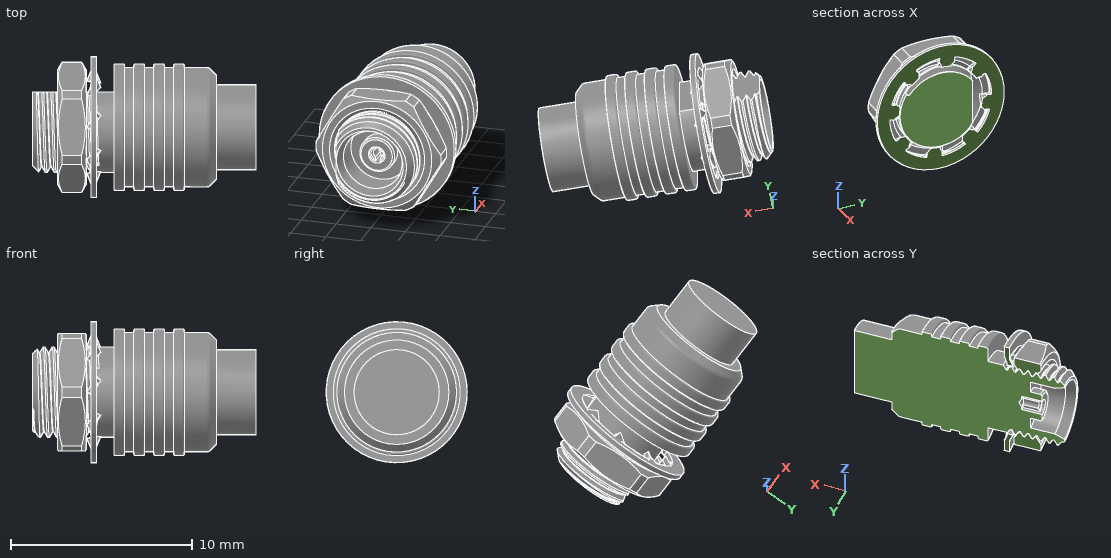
import cadquery as cq
import math


flange_start = 4.5
flange_end = 10.17
body_length = 12.36

thread_radius = 2.5
thread_pitch = 0.5
thread_depth = 0.31
thread_root_flat = 0.04
thread_half_angle = 30.0
thread_turns = 7.66
thread_start = -0.35
groove_overcut = 0.06
entry_chamfer = 0.39
flat_offset = 1.96

barrel_radius = 3.3
barrel_chamfer = 0.42
barrel_fillet = 0.25
rib_radius = 3.5
rib_width = 0.6
rib_fillet = 0.1
rib_pitch = 1.1
rib_count = 4
collar_radius = 2.35

mouth_radius = 1.92
socket_radius = 1.69
mouth_depth = 0.57
socket_depth = 2.0
insulator_radius = 1.0
insulator_chamfer = 0.1
insulator_face = 1.31

contact_radius = 0.475
contact_recess = 0.2
contact_lead_in = 0.1
contact_bore_radius = 0.28
contact_bore_depth = 1.0
contact_tip_angle = 59.0
contact_slot_width = 0.28

nut_start = 1.385
nut_thickness = 1.6
nut_across_flats = 6.5
nut_corner_radius = 3.6
nut_face_radius = 3.15
nut_bevel_angle = 30.0
nut_mouth_radius = 2.74
nut_mouth_depth = 0.34

washer_start = 3.24
washer_thickness = 0.31
washer_outer_radius = 7.79 / 2
washer_inner_radius = 3.1
tooth_tip_radius = 2.52
tooth_count = 8
tooth_width = 0.97
tooth_twist = 31.6
first_tooth_angle = 37.5
tooth_root_overlap = 0.15


def turned(points):
    """Solid of revolution about X from a closed outline of (x, radius) points."""
    return cq.Workplane("XY").polyline(points).close().revolve(360, (0, 0, 0), (1, 0, 0))


def rod(start, end, radius):
    """Plain cylinder along X."""
    return cq.Workplane("YZ", origin=(start, 0, 0)).circle(radius).extrude(end - start)


def threaded_rod(length):
    """Cylinder from x = 0 with a right-hand V groove wound around it."""
    slope = math.tan(math.radians(thread_half_angle))
    root_radius = thread_radius - thread_depth
    outer_radius = thread_radius + groove_overcut
    root_half = thread_root_flat / 2
    outer_half = root_half + (outer_radius - root_radius) * slope
    helix = cq.Wire.makeHelix(thread_pitch, thread_turns * thread_pitch, root_radius)
    groove = (
        cq.Workplane("XZ")
        .polyline([
            (root_radius, -root_half),
            (outer_radius, -outer_half),
            (outer_radius, outer_half),
            (root_radius, root_half),
        ])
        .close()
        .sweep(cq.Workplane(helix), isFrenet=True)
        .rotate((0, 0, 0), (0, 1, 0), 90)
        .translate((thread_start, 0, 0))
    )
    return rod(0, length, thread_radius).cut(groove)


def grip_barrel():
    """Barrel with a bevelled and blended rear edge and raised ribs with rounded edges."""
    barrel = rod(flange_start, flange_end, barrel_radius).faces(">X").chamfer(barrel_chamfer)
    barrel = barrel.faces("%CONE").edges("<X").fillet(barrel_fillet)
    for index in range(rib_count):
        rib_start = flange_start + index * rib_pitch
        rib = rod(rib_start, rib_start + rib_width, rib_radius).edges().fillet(rib_fillet)
        barrel = barrel.union(rib)
    return barrel


def socket_cavity():
    """Tapered mouth and cylindrical socket, around the insulator post."""
    cavity = turned([
        (0, 0),
        (0, mouth_radius),
        (mouth_depth, socket_radius),
        (socket_depth, socket_radius),
        (socket_depth, 0),
    ])
    post = turned([
        (insulator_face, 0),
        (insulator_face, insulator_radius - insulator_chamfer),
        (insulator_face + insulator_chamfer, insulator_radius),
        (socket_depth, insulator_radius),
        (socket_depth, 0),
    ])
    return cavity.cut(post)


def contact_cuts():
    """Recess in front of the contact, its countersunk conical-bottomed bore and its cross slot."""
    contact_face = insulator_face + contact_recess
    bore_end = contact_face + contact_bore_depth
    tip_depth = contact_bore_radius / math.tan(math.radians(contact_tip_angle))
    recess_and_bore = turned([
        (insulator_face, 0),
        (insulator_face, contact_radius),
        (contact_face, contact_radius),
        (contact_face, contact_bore_radius + contact_lead_in),
        (contact_face + contact_lead_in, contact_bore_radius),
        (bore_end, contact_bore_radius),
        (bore_end + tip_depth, 0),
    ])
    slot = cq.Workplane("XY").box(
        contact_bore_depth, contact_slot_width, 2 * contact_radius, centered=(False, True, True)
    ).translate((contact_face, 0, 0))
    slot = slot.intersect(rod(contact_face, bore_end, contact_radius))
    return recess_and_bore.union(slot)


def make_body():
    """Threaded front with a key flat, ribbed barrel, rear collar and front socket."""
    front_limit = turned([
        (0, 0),
        (0, thread_radius - entry_chamfer),
        (entry_chamfer, thread_radius),
        (flange_start, thread_radius),
        (flange_start, 0),
    ])
    beyond_flat = cq.Workplane("XY").box(
        flange_start, thread_radius, 2 * thread_radius, centered=(False, False, True)
    ).translate((0, flat_offset, 0))
    front = threaded_rod(flange_start).intersect(front_limit).cut(beyond_flat)
    collar = rod(flange_end, body_length, collar_radius)
    return front.union(grip_barrel()).union(collar).cut(socket_cavity()).cut(contact_cuts())


def make_nut():
    """Hex nut with bevelled corners and a thread that mates with the body."""
    nut_end = nut_start + nut_thickness
    bevel = (nut_corner_radius - nut_face_radius) * math.tan(math.radians(nut_bevel_angle))
    corner_diameter = nut_across_flats / math.cos(math.radians(30))
    hexagon = (
        cq.Workplane("YZ", origin=(nut_start, 0, 0))
        .polygon(6, corner_diameter)
        .extrude(nut_thickness)
    )
    outer_limit = turned([
        (nut_start, 0),
        (nut_start, nut_face_radius),
        (nut_start + bevel, nut_corner_radius),
        (nut_end - bevel, nut_corner_radius),
        (nut_end, nut_face_radius),
        (nut_end, 0),
    ])
    minor_radius = thread_radius - thread_depth
    bore = turned([
        (nut_start, 0),
        (nut_start, nut_mouth_radius),
        (nut_start + nut_mouth_depth, minor_radius),
        (nut_end - nut_mouth_depth, minor_radius),
        (nut_end, nut_mouth_radius),
        (nut_end, 0),
    ])
    return hexagon.intersect(outer_limit).cut(bore).cut(threaded_rod(flange_start))


def washer_tooth():
    """Tooth at the +Z side of the washer, twisting about its radial axis towards the tip."""
    middle = washer_start + washer_thickness / 2
    root = (
        cq.Workplane("XY", origin=(middle, 0, washer_inner_radius))
        .rect(washer_thickness, tooth_width)
        .extrude(tooth_root_overlap)
    )
    twisted = (
        cq.Workplane("XY", origin=(middle, 0, tooth_tip_radius))
        .transformed(rotate=(0, 0, -tooth_twist))
        .rect(washer_thickness, tooth_width)
        .transformed(rotate=(0, 0, tooth_twist))
        .workplane(offset=washer_inner_radius - tooth_tip_radius)
        .rect(washer_thickness, tooth_width)
        .loft(ruled=True)
    )
    return root.union(twisted)


def make_washer():
    """Flat ring with twisted inner teeth."""
    washer_end = washer_start + washer_thickness
    washer = rod(washer_start, washer_end, washer_outer_radius).cut(
        rod(washer_start, washer_end, washer_inner_radius)
    )
    tooth = washer_tooth()
    for index in range(tooth_count):
        angle = first_tooth_angle + index * 360 / tooth_count
        washer = washer.union(tooth.rotate((0, 0, 0), (1, 0, 0), angle))
    return washer


body = make_body()
nut = make_nut()
washer = make_washer()

result = cq.Compound.makeCompound([body.val(), nut.val(), washer.val()])